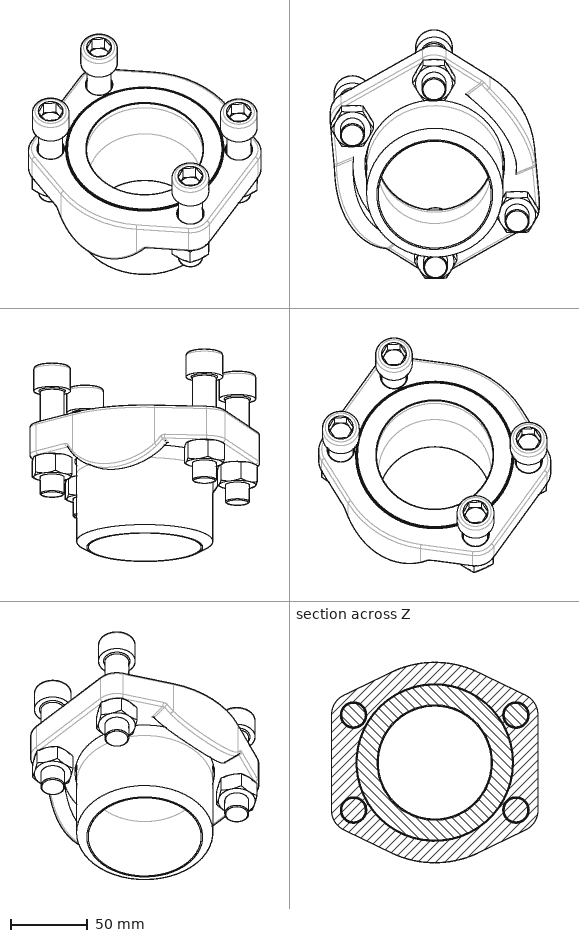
import cadquery as cq
import math


WIDTH = 135
BOLT_X = 106.0 / 2
BOLT_Y = 62.0 / 2

EDGE_CHAMFER = 0.47

FLANGE_TOP = -0.4
PLATE_BOTTOM = -22.4
CORNER_RADIUS = WIDTH / 2 - BOLT_X
END_RADIUS = 65.5
EDGE_FILLET = 2.0
FLANGE_BORE_DIAMETER = 91.0
RECESS_DIAMETER = 102.5
BOLT_HOLE_DIAMETER = 17.0

LOBE_BOTTOM = -41.5
LOBE_RADIUS = 40.8
LOBE_AXIS_Z = LOBE_BOTTOM + LOBE_RADIUS
LOBE_CUTTER_BOTTOM = LOBE_BOTTOM - EDGE_FILLET
LOBE_TAPER = math.radians(6)
LOBE_BLEND = 1.4
LOBE_INNER_DIAMETER = 106.6

RIM_RADIUS = 59.4
RIM_EXTENT = 0.1

COLLAR_DIAMETER = 101.7
COLLAR_DEPTH = 13.5
SLEEVE_DIAMETER = 89.0
NECK_BOTTOM = -30.9
SLEEVE_BOTTOM = -79.9
MOUTH_DIAMETER = 76.0
MOUTH_DEPTH = 5.0
SLEEVE_BORE = 73.7
BEVEL_LAND = 1.0
BEVEL_ANGLE = math.radians(30)

SHANK_DIAMETER = 15.7
TIP_DIAMETER = 14.3
TIP_CHAMFER = (SHANK_DIAMETER - TIP_DIAMETER) / 2
SHANK_LENGTH = 69.8
HEAD_DIAMETER = 24.0
HEAD_HEIGHT = 16.2
HEAD_FILLET = 1.9
HEAD_TOP = 38.7
HEAD_BOTTOM = HEAD_TOP - HEAD_HEIGHT
NECK_FLARE = 0.8
SOCKET_FLATS = 14.0
SOCKET_DEPTH = 10.0
BOLT_TURN = 36
SOCKET_CONE_ANGLE = math.radians(30)

NUT_FLATS = 24.0
NUT_HEIGHT = 13.0
NUT_CHAMFER_ANGLE = math.radians(30)

BOLT_POSITIONS = [(x, y) for x in (-BOLT_X, BOLT_X) for y in (-BOLT_Y, BOLT_Y)]


def corner_diameter(flats):
    """Across-corners size of a hexagon from its across-flats size."""
    return flats / math.cos(math.radians(30))


def revolved(points):
    """Solid of revolution about Z from (radius, z) points, one face per profile segment."""
    profile = cq.Workplane("XZ").polyline(points).close()
    return profile.revolve(360, (0, 0), (0, 1), clean=False)


def cylinder(diameter, bottom, top):
    """Round bar on the Z axis."""
    return cq.Workplane("XY", origin=(0, 0, bottom)).circle(diameter / 2).extrude(top - bottom)


def chamfered_hole(diameter, bottom):
    """Cutter for a round hole on the Z axis, from the flange top down, with a chamfered mouth."""
    radius = diameter / 2
    return revolved(
        [
            (0, bottom),
            (radius, bottom),
            (radius, FLANGE_TOP - EDGE_CHAMFER),
            (radius + EDGE_CHAMFER, FLANGE_TOP),
            (0, FLANGE_TOP),
        ]
    )


def hexagon_prism(flats, bottom, height):
    """Hexagonal bar on the Z axis with two corners on the X axis."""
    return cq.Workplane("XY", origin=(0, 0, bottom)).polygon(6, corner_diameter(flats)).extrude(height)


def outline_prism(bottom, top):
    """Prism whose outline wraps the end circle and the four corner circles with tangent lines."""
    spacing = math.hypot(BOLT_X, BOLT_Y)
    normal = math.atan2(BOLT_Y, BOLT_X) + math.acos((END_RADIUS - CORNER_RADIUS) / spacing)
    end_x = END_RADIUS * math.cos(normal)
    end_y = END_RADIUS * math.sin(normal)
    corner_x = BOLT_X + CORNER_RADIUS * math.cos(normal)
    corner_y = BOLT_Y + CORNER_RADIUS * math.sin(normal)
    half_turn = normal / 2
    middle_x = BOLT_X + CORNER_RADIUS * math.cos(half_turn)
    middle_y = BOLT_Y + CORNER_RADIUS * math.sin(half_turn)
    side = WIDTH / 2
    return (
        cq.Workplane("XY", origin=(0, 0, bottom))
        .moveTo(side, -BOLT_Y)
        .lineTo(side, BOLT_Y)
        .threePointArc((middle_x, middle_y), (corner_x, corner_y))
        .lineTo(end_x, end_y)
        .threePointArc((0, END_RADIUS), (-end_x, end_y))
        .lineTo(-corner_x, corner_y)
        .threePointArc((-middle_x, middle_y), (-side, BOLT_Y))
        .lineTo(-side, -BOLT_Y)
        .threePointArc((-middle_x, -middle_y), (-corner_x, -corner_y))
        .lineTo(-end_x, -end_y)
        .threePointArc((0, -END_RADIUS), (end_x, -end_y))
        .lineTo(corner_x, -corner_y)
        .threePointArc((middle_x, -middle_y), (side, -BOLT_Y))
        .close()
        .extrude(top - bottom)
    )


def make_lobe_cones():
    """Two cones along Y, narrowest at the middle, that bound the lobes from below."""
    reach = END_RADIUS + EDGE_FILLET
    end_radius = LOBE_RADIUS + EDGE_FILLET * math.tan(LOBE_TAPER)
    middle_radius = end_radius - reach * math.tan(LOBE_TAPER)
    profile = [
        (0, -reach),
        (end_radius, -reach),
        (middle_radius, 0),
        (end_radius, reach),
        (0, reach),
    ]
    cones = cq.Workplane("XY").polyline(profile).close().revolve(360, (0, 0), (0, 1))
    return cones.translate((0, 0, LOBE_AXIS_Z))


def is_rim_edge(edge):
    """True for the outer edges that run around the flange's top and underside."""
    middle = edge.Center()
    box = edge.BoundingBox()
    is_outer = math.hypot(middle.x, middle.y) > RIM_RADIUS
    is_vertical = math.hypot(box.xlen, box.ylen) < RIM_EXTENT
    return is_outer and not is_vertical


def make_lobes():
    """Lobes outside the clearance cylinder, running up into the plate."""
    prism = outline_prism(LOBE_CUTTER_BOTTOM, PLATE_BOTTOM / 2)
    clearance = cylinder(LOBE_INNER_DIAMETER, LOBE_CUTTER_BOTTOM, FLANGE_TOP)
    return prism.intersect(make_lobe_cones()).cut(clearance)


def make_flange():
    body = outline_prism(PLATE_BOTTOM, FLANGE_TOP).union(make_lobes())
    body = body.edges("%HYPERBOLA").fillet(LOBE_BLEND)
    rim = [edge for edge in body.edges().vals() if is_rim_edge(edge)]
    body = body.newObject([body.val().fillet(EDGE_FILLET, rim)])
    body = body.cut(cylinder(FLANGE_BORE_DIAMETER, PLATE_BOTTOM, FLANGE_TOP))
    body = body.cut(chamfered_hole(RECESS_DIAMETER, -COLLAR_DEPTH))
    bolt_hole = chamfered_hole(BOLT_HOLE_DIAMETER, PLATE_BOTTOM)
    for x, y in BOLT_POSITIONS:
        body = body.cut(bolt_hole.translate((x, y, 0)))
    return body


def make_sleeve():
    collar_radius = COLLAR_DIAMETER / 2
    sleeve_radius = SLEEVE_DIAMETER / 2
    bore_radius = SLEEVE_BORE / 2
    mouth_radius = MOUTH_DIAMETER / 2
    land_radius = bore_radius + BEVEL_LAND
    bevel_height = (sleeve_radius - land_radius) * math.tan(BEVEL_ANGLE)
    return revolved(
        [
            (mouth_radius, -EDGE_CHAMFER),
            (mouth_radius + EDGE_CHAMFER, 0),
            (collar_radius - EDGE_CHAMFER, 0),
            (collar_radius, -EDGE_CHAMFER),
            (collar_radius, -COLLAR_DEPTH),
            (sleeve_radius, -COLLAR_DEPTH),
            (sleeve_radius, NECK_BOTTOM),
            (sleeve_radius, SLEEVE_BOTTOM + bevel_height),
            (land_radius, SLEEVE_BOTTOM),
            (bore_radius, SLEEVE_BOTTOM),
            (bore_radius, NECK_BOTTOM),
            (mouth_radius, -MOUTH_DEPTH),
        ]
    )


def cone_tip(diameter, top):
    """Downward cone with the slope of a drill tip."""
    radius = diameter / 2
    return revolved([(0, top), (radius, top), (0, top - radius * math.tan(SOCKET_CONE_ANGLE))])


def make_socket():
    """Cutter for the hexagon socket, with a conical floor and a countersunk mouth."""
    floor = HEAD_TOP - SOCKET_DEPTH
    hexagon = hexagon_prism(SOCKET_FLATS, floor, SOCKET_DEPTH)
    drill_tip = cone_tip(SOCKET_FLATS, floor)
    countersink = cone_tip(corner_diameter(SOCKET_FLATS), HEAD_TOP)
    return hexagon.union(drill_tip).union(countersink)


def make_bolt(x, y):
    shank_radius = SHANK_DIAMETER / 2
    tip_z = HEAD_BOTTOM - SHANK_LENGTH
    head_radius = HEAD_DIAMETER / 2
    bolt = revolved(
        [
            (0, tip_z),
            (TIP_DIAMETER / 2, tip_z),
            (shank_radius, tip_z + TIP_CHAMFER),
            (shank_radius, HEAD_BOTTOM - NECK_FLARE),
            (shank_radius + NECK_FLARE, HEAD_BOTTOM),
            (head_radius, HEAD_BOTTOM),
            (head_radius, HEAD_TOP),
            (0, HEAD_TOP),
        ]
    )
    bolt = bolt.faces(">Z").edges().fillet(HEAD_FILLET)
    bolt = bolt.cut(make_socket())
    return bolt.rotate((0, 0, 0), (0, 0, 1), BOLT_TURN).translate((x, y, 0))


def make_nut(x, y):
    flat_radius = NUT_FLATS / 2
    corner_radius = corner_diameter(NUT_FLATS) / 2
    drop = (corner_radius - flat_radius) * math.tan(NUT_CHAMFER_ANGLE)
    nut_bottom = PLATE_BOTTOM - NUT_HEIGHT
    hexagon = hexagon_prism(NUT_FLATS, nut_bottom, NUT_HEIGHT)
    chamfered = revolved(
        [
            (SHANK_DIAMETER / 2, nut_bottom),
            (flat_radius, nut_bottom),
            (corner_radius, nut_bottom + drop),
            (corner_radius, PLATE_BOTTOM - drop),
            (flat_radius, PLATE_BOTTOM),
            (SHANK_DIAMETER / 2, PLATE_BOTTOM),
        ]
    )
    return hexagon.intersect(chamfered).translate((x, y, 0))


flange = make_flange()
sleeve = make_sleeve()
bolts = [make_bolt(x, y) for x, y in BOLT_POSITIONS]
nuts = [make_nut(x, y) for x, y in BOLT_POSITIONS]

result = cq.Compound.makeCompound(
    [flange.val(), sleeve.val(), *[bolt.val() for bolt in bolts], *[nut.val() for nut in nuts]]
)